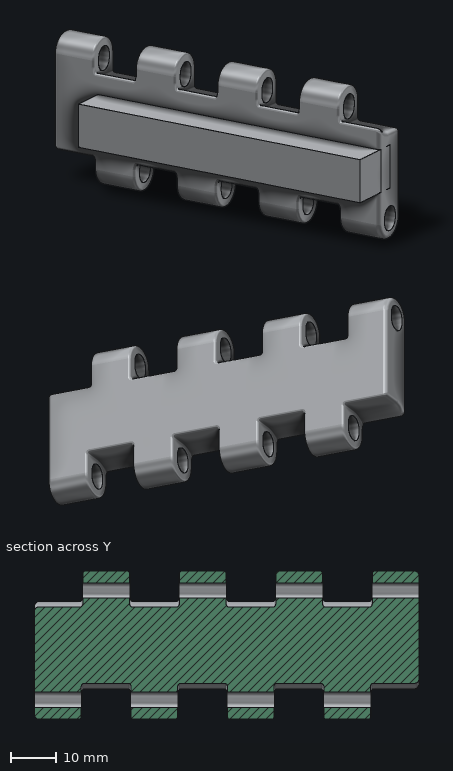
import cadquery as cq
import math

length = 84.8
thickness = 8.7
dome_radius = thickness / 2
plate_height = 33.7
hinge_z = plate_height / 2 - dome_radius

knuckle_count = 4
pitch = length / knuckle_count
knuckle_width = 10.55
gap_width = pitch - knuckle_width

clearance_radius = 4.55
floor_tilt = math.radians(3.5)

side_draft = math.radians(2)

bore_width = 4.7
bore_height = 5.65
bore_z = hinge_z - 0.5

bar_start = 11.55
bar_end = length - 0.1
bar_height = 10.0
bar_depth = 8.0

end_fillet = 0.95
knuckle_fillet = 0.55

tool_margin = 5.0


def make_tapered_block(start, end, widening):
    """Tall block, from x = start to x = end at the front face, growing to the back (-1 shrinks)."""
    back_shift = widening * thickness * math.tan(side_draft)
    outline = [
        (start, -dome_radius),
        (end, -dome_radius),
        (end + back_shift, dome_radius),
        (start - back_shift, dome_radius),
    ]
    return cq.Workplane("XY").polyline(outline).close().extrude(plate_height, both=True)


def make_plate():
    section = cq.Workplane("YZ").slot2D(plate_height, thickness, 90).extrude(length)
    return section.intersect(make_tapered_block(0, length, -1))


def make_upper_gap(start):
    """Cutter for one upper gap, from x = start over one gap width."""
    outer_y = dome_radius + tool_margin
    outer_z = plate_height / 2 + tool_margin

    def arc_point(angle):
        return (
            clearance_radius * math.sin(angle),
            hinge_z - clearance_radius * math.cos(angle),
        )

    front = arc_point(-math.pi / 2)
    tangent = arc_point(-floor_tilt)
    middle = arc_point(-(math.pi / 2 + floor_tilt) / 2)
    back_z = tangent[1] - (outer_y - tangent[0]) * math.tan(floor_tilt)
    profile = (
        cq.Workplane("YZ", origin=(start - tool_margin, 0, 0))
        .moveTo(front[0], outer_z)
        .lineTo(*front)
        .threePointArc(middle, tangent)
        .lineTo(outer_y, back_z)
        .lineTo(outer_y, outer_z)
        .close()
        .extrude(gap_width + 2 * tool_margin)
    )
    return profile.intersect(make_tapered_block(start, start + gap_width, 1))


def cut_gaps(body):
    """Upper knuckles start at x = 0, lower knuckles end at the far end."""
    for index in range(knuckle_count):
        upper = make_upper_gap(index * pitch + knuckle_width)
        lower = make_upper_gap(index * pitch).mirror("XY")
        body = body.cut(upper).cut(lower)
    return body


def round_edges(body):
    """Round every edge left by the gaps, then the rims of both ends."""

    def is_between_ends(edge):
        return end_fillet < edge.Center().x < length - end_fillet

    body = body.edges().filter(is_between_ends).fillet(knuckle_fillet)
    return body.faces("<X or >X").edges().fillet(end_fillet)


def cut_bores(body):
    bores = (
        cq.Workplane("YZ")
        .pushPoints([(0, bore_z), (0, -bore_z)])
        .slot2D(bore_height, bore_width, 90)
        .extrude(length)
    )
    return body.cut(bores)


def make_bar():
    return (
        cq.Workplane("XY", origin=(bar_start, -dome_radius - bar_depth, 0))
        .box(bar_end - bar_start, bar_depth + dome_radius, bar_height, centered=(False, False, True))
    )


plate = round_edges(cut_gaps(make_plate()))
result = cut_bores(plate).union(make_bar())